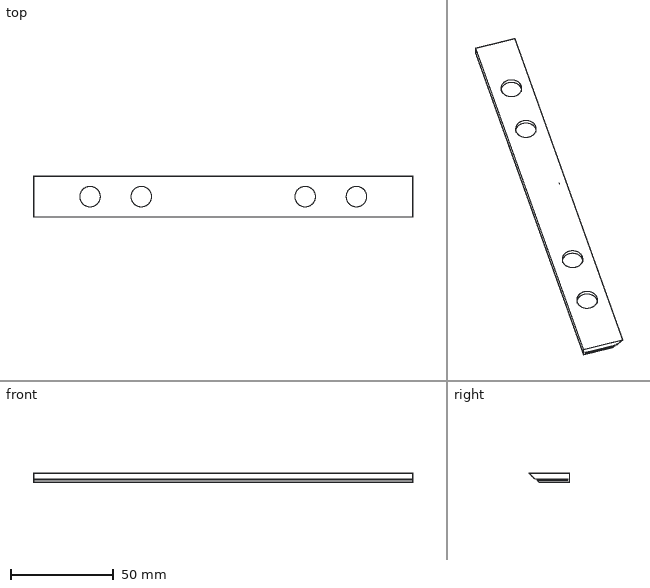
import cadquery as cq

length = 185.0
width = 20.0
lower_lip = 1.05
slot_thickness = 0.5
upper_thickness = 3.0
height = lower_lip + slot_thickness + upper_thickness
lip_setback = 0.5

slot_back_wall = 1.0

pocket_diameter = 10.0
pocket_depth = 2.2
pocket_offsets = (40.0, 65.0)

front = -width / 2
back = width / 2


def bevelled_bar():
    """Bar whose front slopes inward at 45 degrees, with the lower lip set back."""
    lip_top_front = front + height - lower_lip
    outline = [
        (front, height),
        (back, height),
        (back, 0),
        (front + height + lip_setback, 0),
        (lip_top_front + lip_setback, lower_lip),
        (lip_top_front, lower_lip),
    ]
    return cq.Workplane("YZ").polyline(outline).close().extrude(length / 2, both=True)


def slot():
    depth = width - slot_back_wall
    return (
        cq.Workplane("XY")
        .box(length, depth, slot_thickness, centered=(True, False, False))
        .translate((0, front, lower_lip))
    )


def pockets():
    centers = [(side * offset, 0) for side in (-1, 1) for offset in pocket_offsets]
    return (
        cq.Workplane("XY")
        .workplane(offset=height - pocket_depth)
        .pushPoints(centers)
        .circle(pocket_diameter / 2)
        .extrude(pocket_depth)
    )


result = bevelled_bar().cut(slot()).cut(pockets())